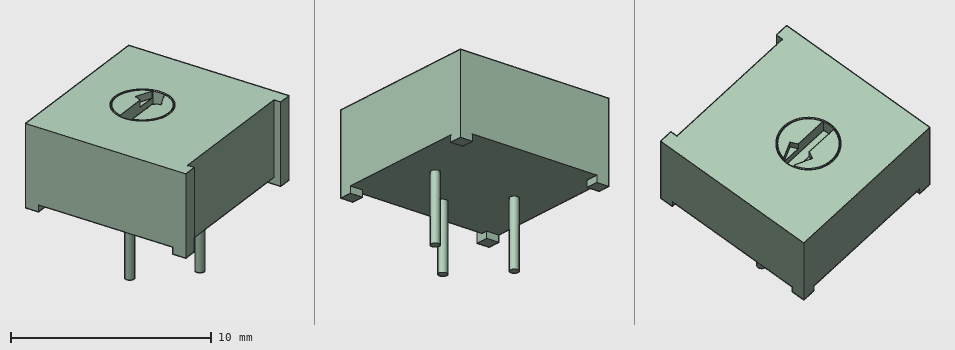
import cadquery as cq

side = 9.53
total_height = 8.43
housing_height = 4.83
foot_size = 0.78
foot_height = 0.4
ear_width = foot_size
recess_depth = 0.4

rotor_x = -0.88
rotor_diameter = 3.16
rim_chamfer = 0.05
rotor_height = 1.2
slot_width = 0.72
slot_depth = 0.8
arrow_depth = 0.4
arrow_half_width = 0.75
arrow_front_y = 1.43
arrow_barb_y = 0.54
arrow_back_y = 0.35

pin_diameter = 0.51
pin_pitch = 2.535
pin_places = [(0, -pin_pitch), (pin_pitch, 0), (0, pin_pitch)]
pin_length = total_height - housing_height + foot_height


def make_housing():
    """Square block on four corner feet, with a recessed +X side and a countersunk rotor bore."""
    gap_between_feet = side - 2 * foot_size
    block = cq.Workplane("XY").box(side, side, housing_height, centered=(True, True, False))
    channel_x = cq.Workplane("XY").box(side, gap_between_feet, foot_height, centered=(True, True, False))
    channel_y = cq.Workplane("XY").box(gap_between_feet, side, foot_height, centered=(True, True, False))
    recess = (
        cq.Workplane("XY")
        .box(recess_depth, side - 2 * ear_width, housing_height, centered=(False, True, False))
        .translate((side / 2 - recess_depth, 0, 0))
    )
    bore = (
        cq.Workplane("XY", origin=(rotor_x, 0, housing_height))
        .circle(rotor_diameter / 2)
        .extrude(-rotor_height)
    )
    countersink = (
        cq.Workplane("XY", origin=(rotor_x, 0, housing_height))
        .circle(rotor_diameter / 2 + rim_chamfer)
        .workplane(offset=-rim_chamfer)
        .circle(rotor_diameter / 2)
        .loft(ruled=True)
    )
    return block.cut(channel_x).cut(channel_y).cut(recess).cut(bore).cut(countersink)


def make_rotor():
    """Chamfered disc flush with the housing top, cut by a slot and an arrow pocket that points to +Y."""
    top = cq.Workplane("XY", origin=(rotor_x, 0, housing_height))
    disc = top.circle(rotor_diameter / 2).extrude(-rotor_height).faces(">Z").chamfer(rim_chamfer)
    slot = top.rect(slot_width, rotor_diameter).extrude(-slot_depth)
    half_slot = slot_width / 2
    arrow = (
        top.moveTo(half_slot, arrow_front_y)
        .lineTo(arrow_half_width, arrow_barb_y)
        .lineTo(half_slot, arrow_back_y)
        .lineTo(-half_slot, arrow_back_y)
        .lineTo(-arrow_half_width, arrow_barb_y)
        .lineTo(-half_slot, arrow_front_y)
        .close()
        .extrude(-arrow_depth)
    )
    return disc.cut(slot).cut(arrow)


def make_pin(x, y):
    """Round pin hanging from the housing floor."""
    return cq.Workplane("XY", origin=(x, y, foot_height)).circle(pin_diameter / 2).extrude(-pin_length)


housing = make_housing()
rotor = make_rotor()
pins = [make_pin(x, y) for x, y in pin_places]

result = cq.Compound.makeCompound([housing.val(), rotor.val(), *[pin.val() for pin in pins]])